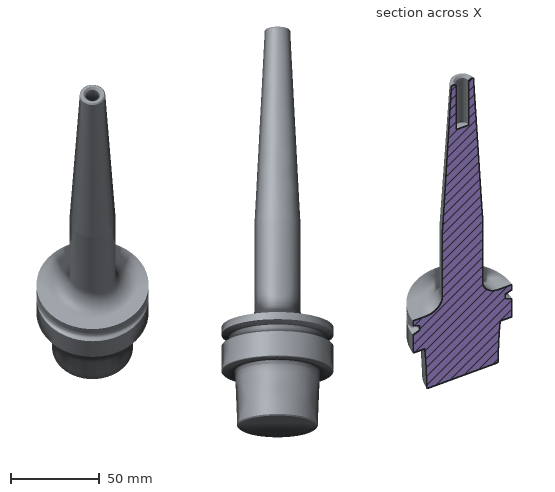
import cadquery as cq

total_height = 232.0
flange_bottom = 32.0
flange_height = 25.7
flange_top = flange_bottom + flange_height
nose_bottom = 118.0

shank_end_radius = 22.7
shank_root_radius = 24.0
shank_end_chamfer = 0.7
shank_collar_radius = 24.1
shank_collar_height = 1.2
shank_collar_bevel_height = 1.0

flange_radius = 31.5
flange_edge_chamfer = 0.35
groove_floor_radius = 27.4
groove_top = flange_top - 4.2
groove_wall_height = 1.9
groove_floor_height = 3.2
groove_floor_top = groove_top - groove_wall_height
groove_floor_bottom = groove_floor_top - groove_floor_height
groove_bottom = groove_floor_bottom - groove_wall_height

neck_radius = 13.0
neck_fillet = 10.2
tip_radius = 7.2
tip_chamfer = 0.7

bore_radius = 4.0
bore_depth = 36.0
bore_chamfer = 1.2


def make_body():
    """Revolve the half outline (radius, height) about the Z axis."""
    collar_bottom = flange_bottom - shank_collar_height
    outline = (
        cq.Workplane("XZ")
        .lineTo(shank_end_radius - shank_end_chamfer, 0)
        .lineTo(shank_end_radius, shank_end_chamfer)
        .lineTo(shank_root_radius, collar_bottom - shank_collar_bevel_height)
        .lineTo(shank_collar_radius, collar_bottom)
        .lineTo(shank_collar_radius, flange_bottom)
        .lineTo(flange_radius - flange_edge_chamfer, flange_bottom)
        .lineTo(flange_radius, flange_bottom + flange_edge_chamfer)
        .lineTo(flange_radius, groove_bottom)
        .lineTo(groove_floor_radius, groove_floor_bottom)
        .lineTo(groove_floor_radius, groove_floor_top)
        .lineTo(flange_radius, groove_top)
        .lineTo(flange_radius, flange_top)
        .lineTo(neck_radius + neck_fillet, flange_top)
        .radiusArc((neck_radius, flange_top + neck_fillet), neck_fillet)
        .lineTo(neck_radius, nose_bottom)
        .lineTo(tip_radius, total_height - tip_chamfer)
        .lineTo(tip_radius - tip_chamfer, total_height)
        .lineTo(0, total_height)
        .close()
    )
    return outline.revolve(360, (0, 0), (0, 1))


def make_bore():
    """Blind tool bore, widened by a chamfer at its mouth."""
    bore_floor = total_height - bore_depth
    outline = (
        cq.Workplane("XZ")
        .moveTo(0, bore_floor)
        .lineTo(bore_radius, bore_floor)
        .lineTo(bore_radius, total_height - bore_chamfer)
        .lineTo(bore_radius + bore_chamfer, total_height)
        .lineTo(0, total_height)
        .close()
    )
    return outline.revolve(360, (0, 0), (0, 1))


result = make_body().cut(make_bore())